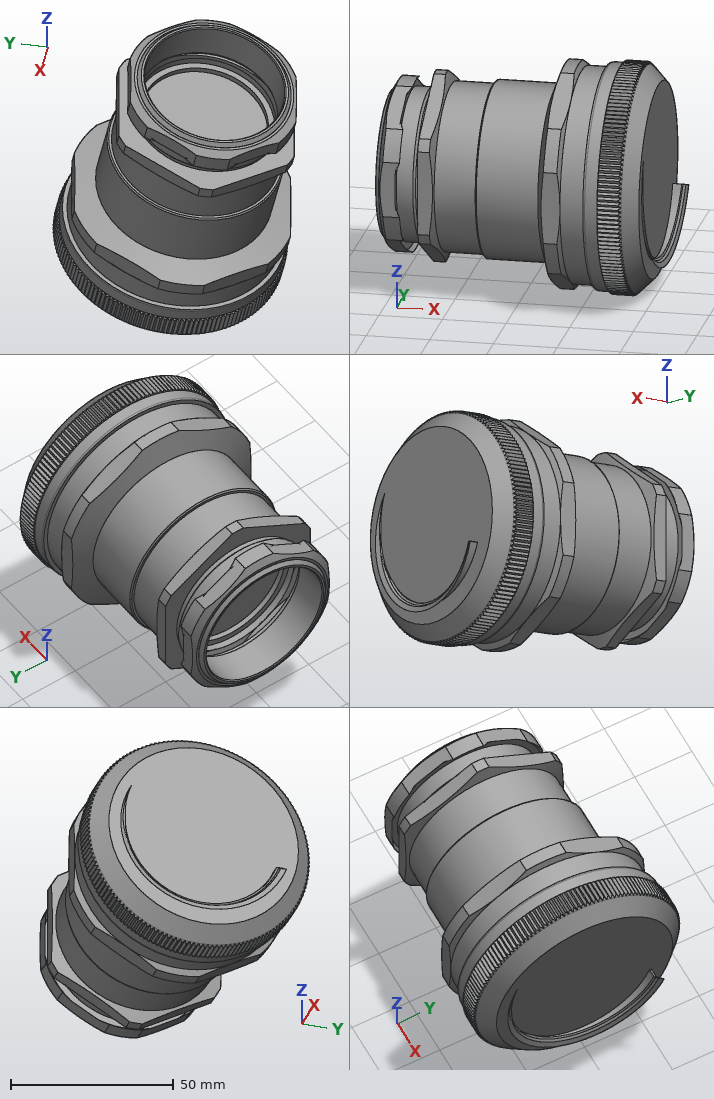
import cadquery as cq
import math


tube_end_radius = 23.1
tube_radius = 48.3 / 2
thread_radius = 46.6 / 2
tube_chamfer_end = 1.2
tube_end = 11.9
thread_start = 12.6

entry_nut_flats = 52.0
entry_nut_radius = 27.45
entry_nut_face_radius = 50.0 / 2
entry_nut_start = 1.3
entry_nut_corner_start = 2.8
entry_nut_end = 8.1
entry_nut_recess = 1.3
entry_nut_recess_radius = 26.5

locknut_flats = 55.0
locknut_radius = 61.2 / 2
locknut_start = 14.1
locknut_corner_end = 17.8
locknut_end = 19.1

neck_radius = 53.0 / 2
body_radius = 55.6 / 2
body_start = 32.2
body_chamfer = 0.4

body_hex_flats = 67.8
body_hex_radius = 35.8
body_hex_cone_start = 52.0
body_hex_corner_start = 54.9
body_hex_corner_end = 59.2
body_hex_end = 60.15

shoulder_radius = body_hex_flats / 2
collar_radius = 71.0 / 2
collar_start = 67.6
collar_chamfer_length = 0.6
collar_chamfer_depth = 0.2
knurl_radius = 72.5 / 2
knurl_start = 72.1
knurl_lead_in = 0.35
knurl_tip_end = 78.7
knurl_end = 79.6
knurl_teeth = 150
cap_end = 84.3
cap_end_radius = collar_radius - (cap_end - knurl_end)

bore_radius = 44.0 / 2
bore_chamfer = 0.35
bore_depth = 17.3
seat_radius = 40 / 2
seat_depth = 19.1
bead_section_radius = 1.4
bead_position = 13.6

lip_tip_position = 88.85
lip_tip_radius = 27.2
lip_outer_radius = 50.0 / 2
lip_wall = 0.7
lip_pitch = 8.6
lip_start_angle = -213
lip_end_angle = -21
lip_outer_flare = 1.4
lip_inner_flare = 1.7
lip_bend_radius = 25.5
lip_bend_drop = 0.6
lip_root_drop = 6.2


def turned(points):
    """Solid of revolution about X from (x, radius) points, closed along the axis."""
    first_x = points[0][0]
    last_x = points[-1][0]
    outline = [(first_x, 0)] + points + [(last_x, 0)]
    return cq.Workplane("XY").polyline(outline).close().revolve(360, (0, 0, 0), (1, 0, 0))


def hex_turned(points, across_flats):
    """Turned blank cut to a hexagon with flats facing +Y and -Y."""
    length = points[-1][0] - points[0][0]
    corner_diameter = across_flats / math.cos(math.pi / 6)
    prism = (
        cq.Workplane("YZ", origin=(points[0][0], 0, 0))
        .transformed(rotate=(0, 0, 30))
        .polygon(6, corner_diameter)
        .extrude(length)
    )
    return turned(points).intersect(prism)


def make_body():
    """Stepped round core from the entry end to the end of the cap."""
    return turned([
        (0, tube_end_radius),
        (tube_chamfer_end, tube_radius),
        (tube_end, tube_radius),
        (thread_start, thread_radius),
        (locknut_start, thread_radius),
        (locknut_start, neck_radius),
        (body_start, neck_radius),
        (body_start, body_radius - body_chamfer),
        (body_start + body_chamfer, body_radius),
        (body_hex_cone_start, body_radius),
        (body_hex_corner_start, shoulder_radius),
        (collar_start, shoulder_radius),
        (collar_start, collar_radius - collar_chamfer_depth),
        (collar_start + collar_chamfer_length, collar_radius),
        (knurl_end, collar_radius),
        (cap_end, cap_end_radius),
    ])


def make_entry_nut():
    """Small hexagon with a conical front and a conical recess in its rear face."""
    nut = hex_turned([
        (entry_nut_start, entry_nut_face_radius),
        (entry_nut_corner_start, entry_nut_radius),
        (entry_nut_end, entry_nut_radius),
    ], entry_nut_flats)
    recess = turned([
        (entry_nut_end - entry_nut_recess, entry_nut_recess_radius),
        (entry_nut_end, entry_nut_radius),
    ])
    return nut.cut(recess)


def make_locknut():
    """Hexagon with a flat front face and a conical rear."""
    return hex_turned([
        (locknut_start, locknut_radius),
        (locknut_corner_end, locknut_radius),
        (locknut_end, neck_radius),
    ], locknut_flats)


def make_body_hex():
    """Large hexagon with a long conical front and a short conical rear."""
    return hex_turned([
        (body_hex_cone_start, body_radius),
        (body_hex_corner_start, body_hex_radius),
        (body_hex_corner_end, body_hex_radius),
        (body_hex_end, shoulder_radius),
    ], body_hex_flats)


def make_knurl():
    """Ring of straight V teeth, bevelled at both ends."""
    outline = []
    for i in range(2 * knurl_teeth):
        radius = knurl_radius if i % 2 == 0 else collar_radius
        angle = math.pi * i / knurl_teeth
        outline.append((radius * math.cos(angle), radius * math.sin(angle)))
    teeth = (
        cq.Workplane("YZ", origin=(knurl_start, 0, 0))
        .polyline(outline)
        .close()
        .extrude(knurl_end - knurl_start)
    )
    envelope = turned([
        (knurl_start, collar_radius),
        (knurl_start + knurl_lead_in, knurl_radius),
        (knurl_tip_end, knurl_radius),
        (knurl_end, collar_radius),
    ])
    return teeth.intersect(envelope)


def make_bore():
    """Blind stepped bore, with a rounded seal bead left standing on its wall."""
    bore = turned([
        (0, bore_radius + bore_chamfer),
        (bore_chamfer, bore_radius),
        (bore_depth, bore_radius),
        (bore_depth, seat_radius),
        (seat_depth, seat_radius),
    ])
    bead = (
        cq.Workplane("XY")
        .center(bead_position, bore_radius)
        .circle(bead_section_radius)
        .revolve(360, (-bead_position, -bore_radius, 0), (0.9 - bead_position, -bore_radius, 0))
    )
    return bore.cut(bead)


def make_lip():
    """Thin flared wall that climbs along a helix out of the end face."""
    sweep_angle = lip_end_angle - lip_start_angle
    rise = lip_pitch * sweep_angle / 360
    inner_radius = lip_outer_radius - lip_wall
    section = [
        (lip_outer_radius, -lip_root_drop),
        (lip_outer_radius, -lip_outer_flare),
        (lip_tip_radius, 0),
        (lip_bend_radius, -lip_bend_drop),
        (inner_radius, -lip_inner_flare),
        (inner_radius, -lip_root_drop),
    ]
    helix = cq.Wire.makeHelix(lip_pitch, rise, lip_outer_radius)
    wall = cq.Workplane("XZ").polyline(section).close().sweep(cq.Workplane(helix), isFrenet=True)
    wall = wall.rotate((0, 0, 0), (0, 0, 1), lip_start_angle)
    wall = wall.rotate((0, 0, 0), (1, 1, 1), 120)
    return wall.translate((lip_tip_position - rise, 0, 0))


result = (
    make_body()
    .union(make_entry_nut())
    .union(make_locknut())
    .union(make_body_hex())
    .union(make_knurl())
    .cut(make_bore())
    .union(make_lip())
)